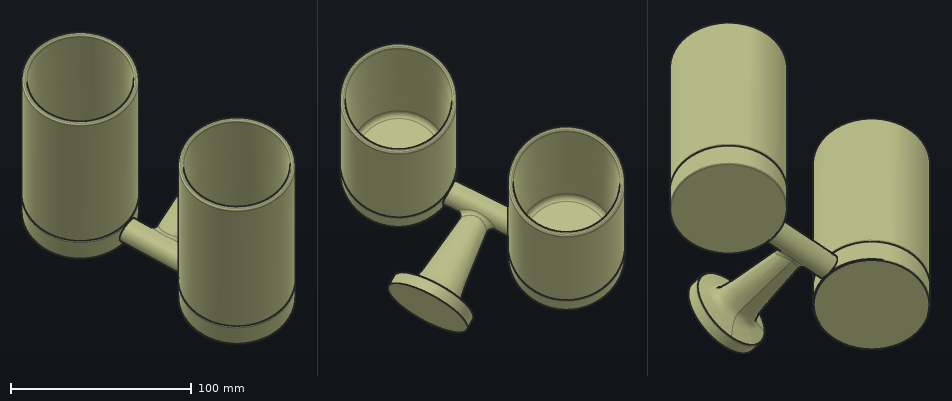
import cadquery as cq

OVERALL_WIDTH = 170.0
CUP_RADIUS = 32.5
CUP_OFFSET = OVERALL_WIDTH / 2 - CUP_RADIUS
CUP_TOP = 115.8
RIM_WALL = 2.9
RIM_ROUND = 1.0
RIM_INNER_RADIUS = CUP_RADIUS - RIM_WALL
BASE_INNER_RADIUS = 27.5
FLOOR_ROUND = 3.4
FLOOR_THICKNESS = 5.0

BAR_RADIUS = 7.5
DISC_BOTTOM = -7.6
DISC_HEIGHT = 16.2
DISC_TOP = DISC_BOTTOM + DISC_HEIGHT
SEAM_ROUND = 0.8
DISC_BOTTOM_ROUND = 0.5
STEM_FILLET = 3.4

PLATE_RADIUS = 25.0
PLATE_THICKNESS = 7.5
PLATE_ROUND = 0.5
PLATE_BACK = 65.6
PLATE_FRONT = PLATE_BACK - PLATE_THICKNESS
FLARE_RADIUS = PLATE_RADIUS - PLATE_ROUND

CORNER_DISTANCE = 57.1
CORNER_HALF_WIDTH = 13.6
CORNER_HALF_HEIGHT = 7.6
WIDTH_TAPER = 0.11
HEIGHT_TAPER = 0.055
SECTION_STEPS = 7
SECTION_RATIO = 2


def make_cup(x):
    """Tumbler with a tapered bore, standing on its holder disc."""
    body = (
        cq.Workplane("XY")
        .workplane(offset=DISC_TOP)
        .circle(CUP_RADIUS)
        .extrude(CUP_TOP - DISC_TOP)
        .faces("<Z").edges().fillet(SEAM_ROUND)
    )
    floor_z = DISC_TOP + FLOOR_THICKNESS
    bore = (
        cq.Workplane("XZ")
        .moveTo(0, floor_z)
        .lineTo(BASE_INNER_RADIUS - FLOOR_ROUND, floor_z)
        .radiusArc((BASE_INNER_RADIUS, floor_z + FLOOR_ROUND), -FLOOR_ROUND)
        .lineTo(RIM_INNER_RADIUS, CUP_TOP)
        .lineTo(0, CUP_TOP)
        .close()
        .revolve(360, (0, 0, 0), (0, 1, 0))
    )
    return body.cut(bore).faces(">Z").edges().fillet(RIM_ROUND).translate((x, 0, 0))


def stem_section(step):
    """Ellipse on a hyperbolic profile: the gap to the corner shrinks as the flare grows."""
    gap = CORNER_DISTANCE / SECTION_RATIO**step
    flare = SECTION_RATIO ** (step - SECTION_STEPS)
    last_gap = CORNER_DISTANCE / SECTION_RATIO**SECTION_STEPS
    cone_rise = PLATE_FRONT - CORNER_DISTANCE + last_gap
    distance = CORNER_DISTANCE - gap + flare * cone_rise
    half_width = CORNER_HALF_WIDTH - WIDTH_TAPER * gap + flare * (FLARE_RADIUS - CORNER_HALF_WIDTH)
    half_height = CORNER_HALF_HEIGHT - HEIGHT_TAPER * gap + flare * (FLARE_RADIUS - CORNER_HALF_HEIGHT)
    return cq.Wire.makeEllipse(
        half_width, half_height, cq.Vector(0, distance, 0), cq.Vector(0, 1, 0), cq.Vector(1, 0, 0)
    )


def make_stem():
    """Elliptical stem that flares out to the front of the wall plate."""
    sections = [stem_section(step) for step in range(SECTION_STEPS + 1)]
    return cq.Workplane(cq.occ_impl.shapes.loft(sections, cap=True))


def make_holder():
    """Two cup discs joined by a cross-bar, with the stem filleted onto the bar."""
    bar = cq.Workplane("YZ").workplane(offset=-CUP_OFFSET).circle(BAR_RADIUS).extrude(2 * CUP_OFFSET)
    holder = bar.union(make_stem())
    joint = cq.selectors.BoxSelector(
        (-PLATE_RADIUS, BAR_RADIUS / 2, -BAR_RADIUS), (PLATE_RADIUS, BAR_RADIUS, BAR_RADIUS)
    )
    holder = holder.edges(joint).fillet(STEM_FILLET)
    centres = [(-CUP_OFFSET, 0), (CUP_OFFSET, 0)]
    discs = (
        cq.Workplane("XY")
        .workplane(offset=DISC_BOTTOM)
        .pushPoints(centres)
        .circle(CUP_RADIUS)
        .extrude(DISC_HEIGHT)
        .faces(">Z").edges().fillet(SEAM_ROUND)
        .faces("<Z").edges().fillet(DISC_BOTTOM_ROUND)
    )
    return holder.union(discs)


def make_plate():
    """Round disc against the wall."""
    plate = cq.Workplane("XZ").workplane(offset=-PLATE_BACK).circle(PLATE_RADIUS).extrude(PLATE_THICKNESS)
    return plate.faces("<Y").edges().fillet(PLATE_ROUND)


cups = [make_cup(side * CUP_OFFSET) for side in (-1, 1)]
holder = make_holder()
wall_plate = make_plate()

result = cq.Compound.makeCompound([*[cup.val() for cup in cups], holder.val(), wall_plate.val()])